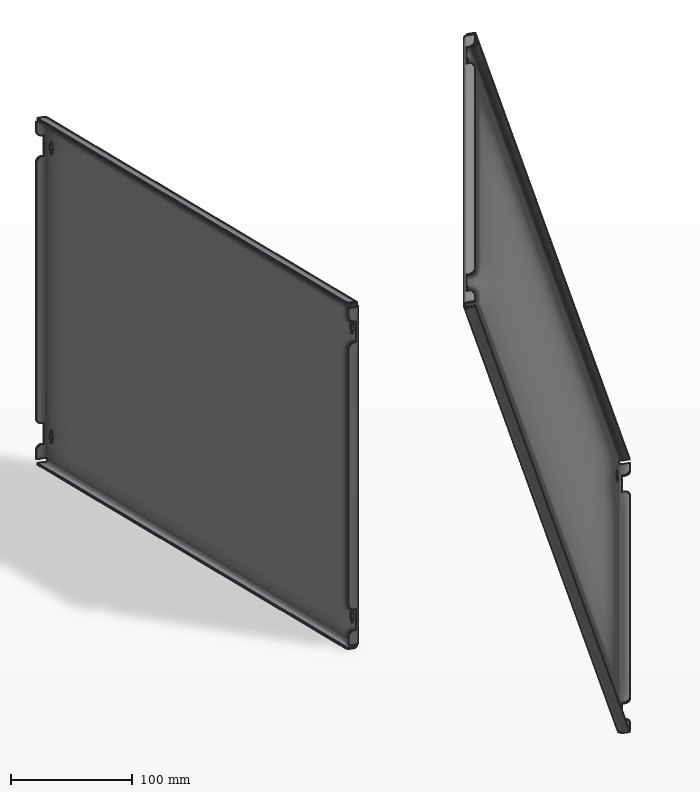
import cadquery as cq

length = 547.0
depth = 10.0
height = 300.0

sheet = 1.5
inner_bend_radius = 1.5
outer_bend_radius = inner_bend_radius + sheet

flange_end_inset = 2.45
side_flange_inset = 4.1
bend_relief_width = 3.55

notch_start = 16.5
notch_end = 34.5
flange_corner_radius = 5.0

hole_spacing_x = 525.0
hole_spacing_z = 250.0
hole_diameter = 6.5
hole_slot_width = 3.5
hole_slot_length = 11.5

back = depth / 2
front = -depth / 2
bend_end = back - outer_bend_radius


def make_tray():
    """Back panel at +Y with rounded bends into flanges that point to -Y."""
    outside = cq.Workplane("XY").box(length, depth, height)
    outside = outside.faces(">Y").edges().fillet(outer_bend_radius)
    inside = (
        cq.Workplane("XY")
        .box(length - 2 * sheet, depth, height - 2 * sheet)
        .faces(">Y").edges().fillet(inner_bend_radius)
        .translate((0, -sheet, 0))
    )
    return outside.cut(inside)


def make_corner_blocks(width, y_start, y_end):
    """Blocks on both upper corners, as tall as the gap above the side flanges."""
    blocks = (
        cq.Workplane("XY")
        .rarray(length - width, 5.5, 2, 1)
        .rect(width, y_end - y_start)
        .extrude(side_flange_inset)
    )
    return blocks.translate((0, (y_start + y_end) / 2, height / 2 - side_flange_inset))


def make_corner_reliefs():
    """Upper corner cuts, wider through the bends than between the flanges."""
    flange_gaps = make_corner_blocks(flange_end_inset, front, back)
    bend_cuts = make_corner_blocks(bend_relief_width, bend_end, back)
    return flange_gaps.union(bend_cuts)


def make_side_notch():
    """Upper notch through both side flanges, rounding the flange corners beside it."""
    lower = height / 2 - notch_end
    upper = height / 2 - notch_start
    arc_start = front + flange_corner_radius
    return (
        cq.Workplane("YZ")
        .moveTo(bend_end, lower)
        .lineTo(arc_start, lower)
        .radiusArc((front, lower - flange_corner_radius), -flange_corner_radius)
        .lineTo(front, upper + flange_corner_radius)
        .radiusArc((arc_start, upper), -flange_corner_radius)
        .lineTo(bend_end, upper)
        .close()
        .extrude(length / 2, both=True)
    )


def make_keyholes():
    """Four round holes, each with a vertical slot across its centre."""
    pattern = cq.Workplane("XZ").rarray(hole_spacing_x, hole_spacing_z, 2, 2)
    circles = pattern.circle(hole_diameter / 2).extrude(depth, both=True)
    slots = pattern.slot2D(hole_slot_length, hole_slot_width, 90).extrude(depth, both=True)
    return circles.union(slots)


result = make_tray().cut(make_keyholes())
for upper_cut in (make_corner_reliefs(), make_side_notch()):
    result = result.cut(upper_cut).cut(upper_cut.mirror("XY"))